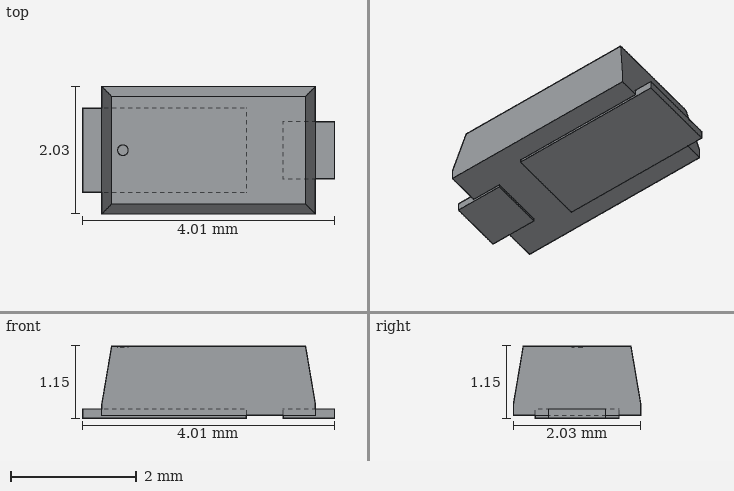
import cadquery as cq

overall_length = 4.01
overall_height = 1.15

housing_length = 3.4
housing_width = 2.03
standoff = 0.05
band_top = 0.23
taper_inset = 0.155

lead_thickness = 0.152
wide_lead_length = 2.605
wide_lead_width = 1.34
narrow_lead_length = 0.82
narrow_lead_width = 0.91

mark_diameter = 0.17
mark_depth = 0.02
mark_from_end = 0.64


def make_lead(length, width, side):
    """Flat lead at one end of the package: side is -1 for -X, +1 for +X."""
    center_x = side * (overall_length - length) / 2
    return (
        cq.Workplane("XY")
        .center(center_x, 0)
        .box(length, width, lead_thickness, centered=(True, True, False))
    )


def make_mark():
    """Thin disc inlaid in the top face."""
    return (
        cq.Workplane("XY", origin=(0, 0, overall_height - mark_depth))
        .center(mark_from_end - overall_length / 2, 0)
        .circle(mark_diameter / 2)
        .extrude(mark_depth)
    )


def make_housing(inlaid_bodies):
    """Straight band below a tapered block, with recesses for the inlaid bodies."""
    band = (
        cq.Workplane("XY", origin=(0, 0, standoff))
        .rect(housing_length, housing_width)
        .extrude(band_top - standoff)
    )
    tapered_block = (
        cq.Workplane("XY", origin=(0, 0, band_top))
        .rect(housing_length, housing_width)
        .workplane(offset=overall_height - band_top)
        .rect(housing_length - 2 * taper_inset, housing_width - 2 * taper_inset)
        .loft(ruled=True)
    )
    housing = band.union(tapered_block)
    for body in inlaid_bodies:
        housing = housing.cut(body)
    return housing


wide_lead = make_lead(wide_lead_length, wide_lead_width, -1)
narrow_lead = make_lead(narrow_lead_length, narrow_lead_width, 1)
polarity_mark = make_mark()
housing = make_housing([wide_lead, narrow_lead, polarity_mark])

result = cq.Compound.makeCompound(
    [housing.val(), wide_lead.val(), narrow_lead.val(), polarity_mark.val()]
)